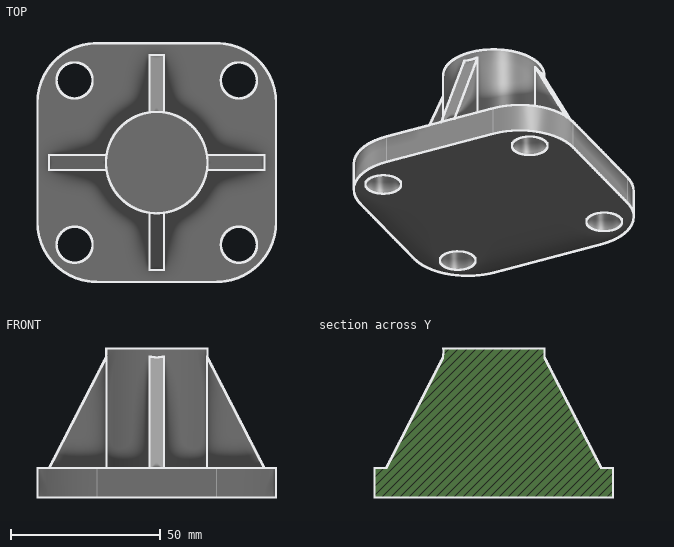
import cadquery as cq

base_side = 80.0
base_thickness = 10.0
corner_radius = 20.0

hole_diameter = 12.0
hole_spacing = 55.0

boss_diameter = 34.0
total_height = 50.0
boss_height = total_height - base_thickness

rib_count = 4
rib_thickness = 5.0
rib_foot_radius = 36.0
rib_height = 37.0
rib_overlap = 1.0


def make_base():
    """Rounded square plate with a through hole near each corner."""
    plate = (
        cq.Workplane("XY")
        .rect(base_side, base_side)
        .extrude(base_thickness)
        .edges("|Z")
        .fillet(corner_radius)
    )
    return (
        plate.faces(">Z")
        .workplane()
        .rect(hole_spacing, hole_spacing, forConstruction=True)
        .vertices()
        .hole(hole_diameter)
    )


def make_boss():
    """Solid cylinder standing on the plate."""
    return (
        cq.Workplane("XY", origin=(0, 0, base_thickness))
        .circle(boss_diameter / 2)
        .extrude(boss_height)
    )


def make_rib(angle):
    """Sloped rib running from the boss axis outward, turned about Z by angle."""
    boss_radius = boss_diameter / 2
    slope = rib_height / (rib_foot_radius - boss_radius)
    rib_top_radius = boss_radius - rib_overlap
    rib_top = base_thickness + slope * (rib_foot_radius - rib_top_radius)
    profile = [
        (0, base_thickness),
        (rib_foot_radius, base_thickness),
        (rib_top_radius, rib_top),
        (0, rib_top),
    ]
    return (
        cq.Workplane("XZ")
        .polyline(profile)
        .close()
        .extrude(rib_thickness / 2, both=True)
        .rotate((0, 0, 0), (0, 0, 1), angle)
    )


result = make_base().union(make_boss())
for index in range(rib_count):
    result = result.union(make_rib(index * 360 / rib_count))